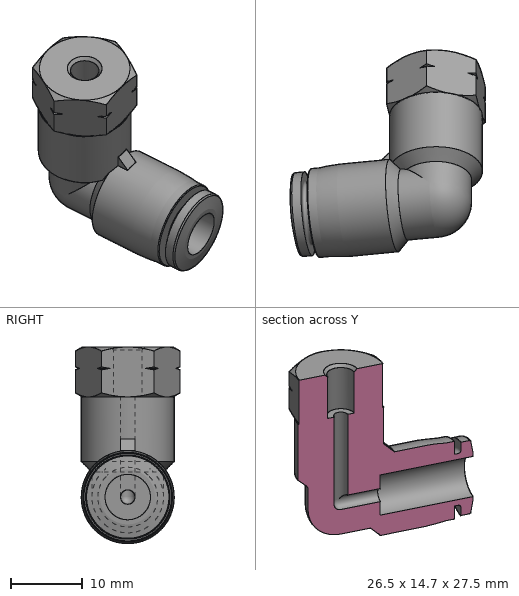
import cadquery as cq
import math

length_x = 26.5
height_z = 27.5
sleeve_radius = 13.0 / 2
top_z = height_z - sleeve_radius
mouth_x = length_x - sleeve_radius
elbow_radius = 5.0
shoulder = sleeve_radius - elbow_radius

hex_flats = 12.7
hex_height = 7.0
hex_bottom = top_z - hex_height
hex_corner_radius = hex_flats / math.sqrt(3)
hex_face_radius = 6.32
hex_chamfer = (hex_corner_radius - hex_face_radius) * math.tan(math.radians(30))
groove_z = 17.98
groove_width = 0.4
groove_bottom_radius = 6.82

vertical_cone_start = 3.5
gusset_width = 1.98
gusset_reach = 1.6

horizontal_cone_start = 4.48
taper_start = 12.85
taper_end = 15.85
sleeve_end = 17.22
sleeve_end_radius = 12.5 / 2
sleeve_end_chamfer = 0.15

neck_radius = 8.35 / 2
neck_fillet = 0.38
collar_start = 18.12
collar_radius = 11.8 / 2
collar_bevel_length = 0.25
collar_bevel_drop = 0.15
collar_cone_start = 19.65
collar_face_radius = 3.85

nut_bore_radius = 3.95 / 2
nut_bore_depth = hex_height
nut_bore_chamfer = 0.45
passage_radius = 2.0 / 2
tube_bore_radius = 6.35 / 2
tube_bore_bottom = horizontal_cone_start + shoulder


def revolve_about_z(points):
    """Revolve an (r, z) outline about the vertical axis."""
    return cq.Workplane("XZ").polyline(points).close().revolve(360, (0, 0), (0, 1))


def cylinder_z(radius, bottom, top):
    return cq.Workplane("XY").workplane(offset=bottom).circle(radius).extrude(top - bottom)


def cylinder_x(radius, start, end):
    return cq.Workplane("YZ").workplane(offset=start).circle(radius).extrude(end - start)


def hex_nut():
    corners = [
        (hex_corner_radius * math.sin(i * math.pi / 3), hex_corner_radius * math.cos(i * math.pi / 3))
        for i in range(6)
    ]
    prism = (
        cq.Workplane("XY").workplane(offset=hex_bottom)
        .polyline(corners).close().extrude(hex_height)
    )
    envelope = revolve_about_z([
        (0, hex_bottom),
        (hex_face_radius, hex_bottom),
        (hex_corner_radius, hex_bottom + hex_chamfer),
        (hex_corner_radius, groove_z - groove_width / 2),
        (groove_bottom_radius, groove_z),
        (hex_corner_radius, groove_z + groove_width / 2),
        (hex_corner_radius, top_z - hex_chamfer),
        (hex_face_radius, top_z),
        (0, top_z),
    ])
    return prism.intersect(envelope)


def vertical_arm():
    return revolve_about_z([
        (0, 0),
        (elbow_radius, 0),
        (elbow_radius, vertical_cone_start),
        (sleeve_radius, vertical_cone_start + shoulder),
        (sleeve_radius, hex_bottom),
        (0, hex_bottom),
    ])


def horizontal_arm():
    fillet_middle = neck_fillet * math.sqrt(0.5)
    fillet_center_x = collar_start - neck_fillet
    fillet_center_r = neck_radius + neck_fillet
    return (
        cq.Workplane("XZ")
        .moveTo(0, 0)
        .lineTo(0, elbow_radius)
        .lineTo(horizontal_cone_start, elbow_radius)
        .lineTo(horizontal_cone_start + shoulder, sleeve_radius)
        .lineTo(taper_start, sleeve_radius)
        .tangentArcPoint((taper_end, sleeve_end_radius), relative=False)
        .lineTo(sleeve_end - sleeve_end_chamfer, sleeve_end_radius)
        .lineTo(sleeve_end, sleeve_end_radius - sleeve_end_chamfer)
        .lineTo(sleeve_end, neck_radius)
        .lineTo(fillet_center_x, neck_radius)
        .threePointArc(
            (fillet_center_x + fillet_middle, fillet_center_r - fillet_middle),
            (collar_start, fillet_center_r),
        )
        .lineTo(collar_start, collar_radius)
        .lineTo(collar_cone_start - collar_bevel_length, collar_radius)
        .lineTo(collar_cone_start, collar_radius - collar_bevel_drop)
        .lineTo(mouth_x, collar_face_radius)
        .lineTo(mouth_x, 0)
        .close()
        .revolve(360, (0, 0), (1, 0))
    )


def gusset():
    """Triangular web in the inner corner, rooted inside both sleeves."""
    tip = sleeve_radius + gusset_reach
    root = sleeve_radius
    return (
        cq.Workplane("XZ")
        .polyline([(elbow_radius, elbow_radius), (tip, elbow_radius), (tip, root), (root, tip),
                   (elbow_radius, tip)])
        .close()
        .extrude(gusset_width / 2, both=True)
    )


def passages():
    nut_bore = cylinder_z(nut_bore_radius, top_z - nut_bore_depth, top_z)
    countersink = revolve_about_z([
        (0, top_z - nut_bore_chamfer),
        (nut_bore_radius, top_z - nut_bore_chamfer),
        (nut_bore_radius + nut_bore_chamfer, top_z),
        (0, top_z),
    ])
    return (
        nut_bore.union(countersink)
        .union(cylinder_z(passage_radius, 0, top_z))
        .union(cylinder_x(passage_radius, 0, mouth_x))
        .union(cq.Workplane("XY").sphere(passage_radius))
        .union(cylinder_x(tube_bore_radius, tube_bore_bottom, mouth_x))
    )


elbow = cq.Workplane("XY").sphere(elbow_radius)
body = vertical_arm().union(horizontal_arm()).union(elbow).union(gusset()).union(hex_nut())
result = body.cut(passages())